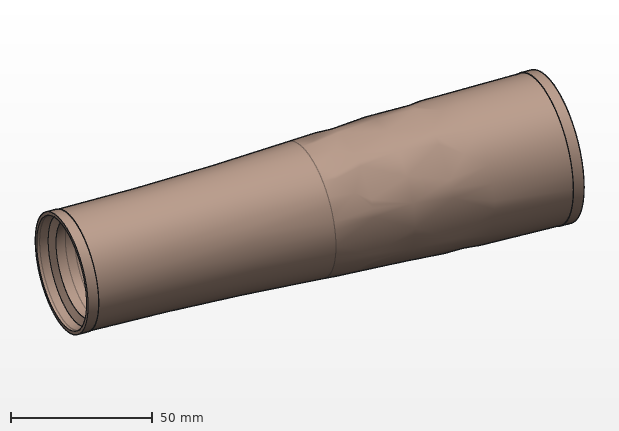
import cadquery as cq
import math

length = 190.0
large_radius = 28.02
small_radius = 22.5
collar_length = 4.2
collar_step = 0.2

mouth_wall = 1.3
mouth_depth = 1.1
seat_depth = 4.2
seat_taper = 0.5
lip_radius = 18.0
lip_depth = 6.0
flare_depth = 12.2
main_radius = 20.1
blend_radius = 11.4

half = length / 2
body_end = half - collar_length
body_small = small_radius - collar_step
body_large = large_radius - collar_step
body_middle = (body_small + body_large) / 2

arc_rise = body_middle - body_small
arc_radius = (body_end**2 + arc_rise**2) / (2 * arc_rise)
arc_half_width = arc_radius * math.sin(math.asin(body_end / arc_radius) / 2)
arc_half_sag = arc_radius - math.sqrt(arc_radius**2 - arc_half_width**2)


def make_body():
    """Solid of revolution with a collar at each end and an S-shaped flank."""
    profile = (
        cq.Workplane("XY")
        .moveTo(0, -half)
        .lineTo(small_radius, -half)
        .lineTo(small_radius, -body_end)
        .lineTo(body_small, -body_end)
        .threePointArc((body_small + arc_half_sag, -body_end + arc_half_width), (body_middle, 0))
        .threePointArc((body_large - arc_half_sag, body_end - arc_half_width), (body_large, body_end))
        .lineTo(large_radius, body_end)
        .lineTo(large_radius, half)
        .lineTo(0, half)
        .close()
    )
    return profile.revolve(360, (0, 0, 0), (0, 1, 0))


def make_bore():
    """Stepped bore: mouth, tapered seat, conical shoulder, narrow lip, flare, then the main bore."""
    mouth_radius = small_radius - mouth_wall
    seat_radius = mouth_radius - seat_taper
    profile = (
        cq.Workplane("XY")
        .moveTo(0, -half)
        .lineTo(mouth_radius, -half)
        .lineTo(mouth_radius, -half + mouth_depth)
        .lineTo(seat_radius, -half + seat_depth)
        .lineTo(lip_radius, -half + lip_depth)
        .lineTo(main_radius, -half + flare_depth)
        .lineTo(main_radius, half)
        .lineTo(0, half)
        .close()
    )
    bore = profile.revolve(360, (0, 0, 0), (0, 1, 0))
    flare_corner = bore.edges(cq.selectors.NearestToPointSelector((0, -half + flare_depth, 0)))
    return flare_corner.fillet(blend_radius)


result = make_body().cut(make_bore())